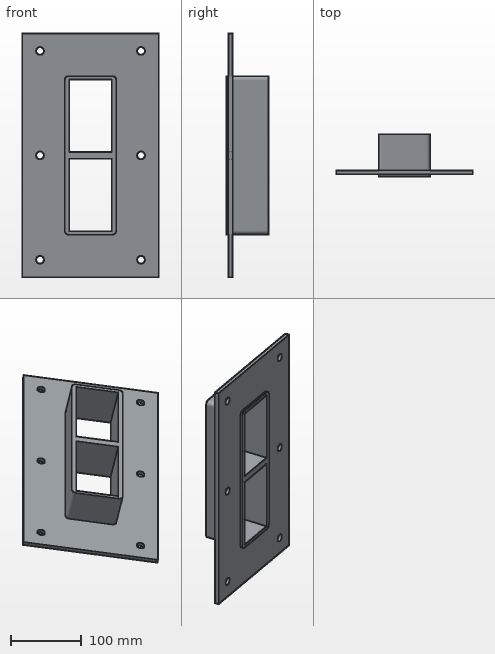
import cadquery as cq

plate_width = 192.5
plate_height = 344.0
plate_thickness = 6.0

hole_diameter = 10.5
hole_spacing_x = 142.5
hole_spacing_z = 147.2
hole_columns = 2
hole_rows = 3

duct_width = 73.0
duct_height = 223.5
duct_length = 60.0
duct_front_projection = 3.0
corner_radius = 6.0

opening_width = 60.0
opening_height = 101.8
divider_thickness = 10.0
opening_spacing = opening_height + divider_thickness


def front_plane(y):
    """XZ workplane at the given Y; extrusion by a negative length goes toward +Y."""
    return cq.Workplane("XZ", origin=(0, y, 0))


def make_plate():
    return front_plane(0).rect(plate_width, plate_height).extrude(-plate_thickness)


def make_duct():
    duct = front_plane(-duct_front_projection).rect(duct_width, duct_height).extrude(-duct_length)
    return duct.edges("|Y").fillet(corner_radius)


def make_openings():
    return (
        front_plane(-duct_front_projection)
        .rarray(3.5, opening_spacing, 1, 2)
        .rect(opening_width, opening_height)
        .extrude(-duct_length)
    )


def make_mounting_holes():
    return (
        front_plane(0)
        .rarray(hole_spacing_x, hole_spacing_z, hole_columns, hole_rows)
        .circle(hole_diameter / 2)
        .extrude(-plate_thickness)
    )


result = make_plate().union(make_duct()).cut(make_openings()).cut(make_mounting_holes())